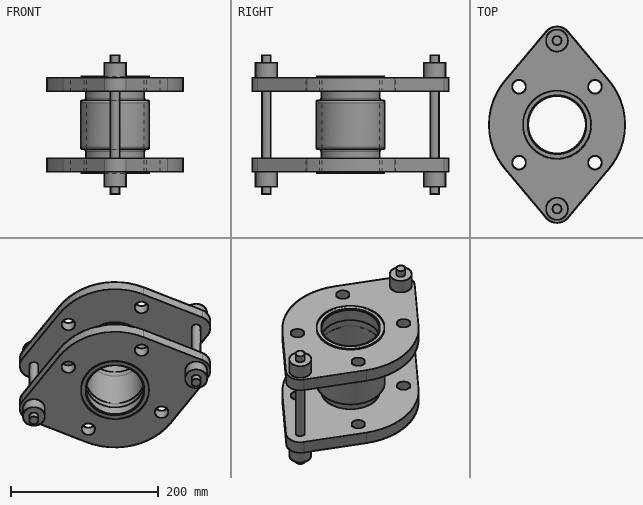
import cadquery as cq
import math

overall_length = 266.0
flange_radius = 92.3
ear_radius = 19.2
rod_offset = overall_length / 2 - ear_radius
plate_thickness = 18.5
plate_outer_z = 63.8
plate_inner_z = plate_outer_z - plate_thickness
bolt_hole_offset = 51.3
bolt_hole_radius = 9.0

rod_radius = 6.0
rod_length = 188.0
collar_radius = 15.0
collar_height = 20.2

bore_radius = 38.8
neck_radius = 40.0
body_radius = 46.5
shoulder_z = 33.2
body_fillet = 3.2
neck_fillet = 2.5

face_radius = 46.0
face_height = 1.5
face_z = plate_outer_z + face_height


def make_plate(bottom_z):
    """Round flange joined by tangent lines to a rounded ear at each rod."""
    tangent_sin = (flange_radius - ear_radius) / rod_offset
    tangent_cos = math.sqrt(1 - tangent_sin**2)
    flange_x = flange_radius * tangent_cos
    flange_y = flange_radius * tangent_sin
    ear_x = ear_radius * tangent_cos
    ear_y = rod_offset + ear_radius * tangent_sin
    ear_tip_y = rod_offset + ear_radius
    plate = (
        cq.Workplane("XY")
        .workplane(offset=bottom_z)
        .moveTo(flange_x, -flange_y)
        .threePointArc((flange_radius, 0), (flange_x, flange_y))
        .lineTo(ear_x, ear_y)
        .threePointArc((0, ear_tip_y), (-ear_x, ear_y))
        .lineTo(-flange_x, flange_y)
        .threePointArc((-flange_radius, 0), (-flange_x, -flange_y))
        .lineTo(-ear_x, -ear_y)
        .threePointArc((0, -ear_tip_y), (ear_x, -ear_y))
        .close()
        .extrude(plate_thickness)
    )
    bolt_holes = (
        cq.Workplane("XY")
        .workplane(offset=bottom_z)
        .rect(2 * bolt_hole_offset, 2 * bolt_hole_offset, forConstruction=True)
        .vertices()
        .circle(bolt_hole_radius)
        .extrude(plate_thickness)
    )
    return plate.cut(bolt_holes)


def make_cylinders(radius, bottom_z, height, centers):
    """Upright cylinders of one size standing at the given centers."""
    return (
        cq.Workplane("XY")
        .workplane(offset=bottom_z)
        .pushPoints(centers)
        .circle(radius)
        .extrude(height)
    )


def make_sleeve():
    """Solid neck through both plates with a wider, round-shouldered body between them."""
    fillet_outer_z = shoulder_z + neck_fillet
    fillet_outer_radius = neck_radius + neck_fillet
    rounding_inner_z = shoulder_z - body_fillet
    rounding_inner_radius = body_radius - body_fillet
    return (
        cq.Workplane("XZ")
        .moveTo(0, -plate_outer_z)
        .lineTo(neck_radius, -plate_outer_z)
        .lineTo(neck_radius, -fillet_outer_z)
        .radiusArc((fillet_outer_radius, -shoulder_z), neck_fillet)
        .lineTo(rounding_inner_radius, -shoulder_z)
        .radiusArc((body_radius, -rounding_inner_z), -body_fillet)
        .lineTo(body_radius, rounding_inner_z)
        .radiusArc((rounding_inner_radius, shoulder_z), -body_fillet)
        .lineTo(fillet_outer_radius, shoulder_z)
        .radiusArc((neck_radius, fillet_outer_z), neck_fillet)
        .lineTo(neck_radius, plate_outer_z)
        .lineTo(0, plate_outer_z)
        .close()
        .revolve(360, (0, 0, 0), (0, 1, 0))
    )


def make_raised_face(bottom_z):
    """Flat ring whose hole matches the neck, leaving a step above the neck end."""
    return (
        cq.Workplane("XY")
        .workplane(offset=bottom_z)
        .circle(face_radius)
        .circle(neck_radius)
        .extrude(face_height)
    )


axis = [(0, 0)]
rod_centers = [(0, -rod_offset), (0, rod_offset)]

result = make_sleeve()
for plate_bottom_z in (-plate_outer_z, plate_inner_z):
    result = result.union(make_plate(plate_bottom_z))
for face_bottom_z in (-face_z, plate_outer_z):
    result = result.union(make_raised_face(face_bottom_z))
for collar_bottom_z in (-plate_outer_z - collar_height, plate_outer_z):
    result = result.union(make_cylinders(collar_radius, collar_bottom_z, collar_height, rod_centers))
result = result.union(make_cylinders(rod_radius, -rod_length / 2, rod_length, rod_centers))
result = result.cut(make_cylinders(bore_radius, -plate_outer_z, 2 * plate_outer_z, axis))